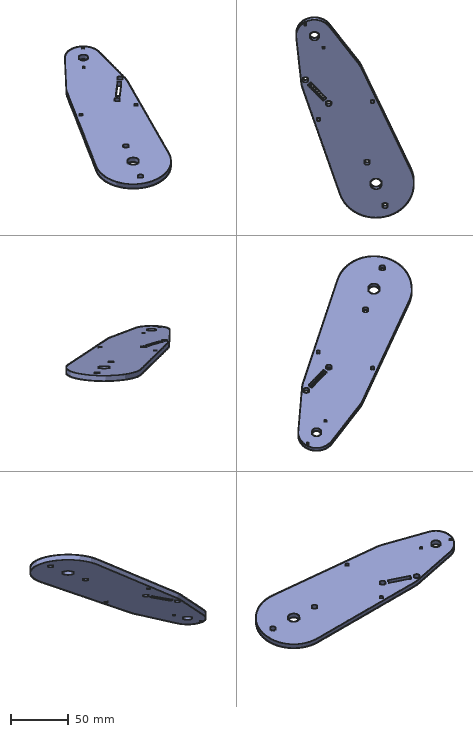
import cadquery as cq
import math

thickness = 5.0
small_end_radius = 16.0
shoulder_radius = 27.5
large_end_radius = 33.0
shoulder_x = 45.1
large_end_x = 153.63

small_bore_diameter = 8.2
large_bore_diameter = 10.1

bolt_diameter = 5.0
bolt_offset = 22.5

edge_hole_diameter = 3.0
edge_hole_x = 77.4
edge_hole_offset = 25.0

pin_diameter = 2.0
pin_circle_radius = 13.8
pin_angle = 165.0

slot_center_x = 51.5
slot_center_y = 16.75
slot_angle = -20.9
slot_length = 20.2
slot_width = 3.5
slot_hole_spacing = 30.7
slot_hole_diameter = 5.0


def point_at(center_x, center_y, radius, angle):
    """Point at a polar angle in degrees around a centre."""
    turn = math.radians(angle)
    return (center_x + radius * math.cos(turn), center_y + radius * math.sin(turn))


def mirrored(point):
    """Point reflected across the X axis."""
    return (point[0], -point[1])


def tangent_point_angle(radius_a, radius_b, spacing):
    """Polar angle of the upper tangent points of two circles on the X axis."""
    return 90.0 + math.degrees(math.asin((radius_b - radius_a) / spacing))


def make_plate():
    taper_angle = tangent_point_angle(small_end_radius, shoulder_radius, shoulder_x)
    side_angle = tangent_point_angle(shoulder_radius, large_end_radius, large_end_x - shoulder_x)
    shoulder_mid_angle = (taper_angle + side_angle) / 2

    small_mid = point_at(0, 0, small_end_radius, (180 + taper_angle) / 2)
    small_tangent = point_at(0, 0, small_end_radius, taper_angle)
    shoulder_start = point_at(shoulder_x, 0, shoulder_radius, taper_angle)
    shoulder_mid = point_at(shoulder_x, 0, shoulder_radius, shoulder_mid_angle)
    shoulder_end = point_at(shoulder_x, 0, shoulder_radius, side_angle)
    large_tangent = point_at(large_end_x, 0, large_end_radius, side_angle)
    large_mid = point_at(large_end_x, 0, large_end_radius, side_angle / 2)

    return (
        cq.Workplane("XY")
        .moveTo(-small_end_radius, 0)
        .threePointArc(small_mid, small_tangent)
        .lineTo(*shoulder_start)
        .threePointArc(shoulder_mid, shoulder_end)
        .lineTo(*large_tangent)
        .threePointArc(large_mid, (large_end_x + large_end_radius, 0))
        .threePointArc(mirrored(large_mid), mirrored(large_tangent))
        .lineTo(*mirrored(shoulder_end))
        .threePointArc(mirrored(shoulder_mid), mirrored(shoulder_start))
        .lineTo(*mirrored(small_tangent))
        .threePointArc(mirrored(small_mid), (-small_end_radius, 0))
        .close()
        .extrude(thickness, clean=False)
    )


def make_hole_cutters(centers, diameter):
    return cq.Workplane("XY").pushPoints(centers).circle(diameter / 2).extrude(thickness)


def make_slot_cutter():
    return (
        cq.Workplane("XY")
        .center(slot_center_x, slot_center_y)
        .transformed(rotate=(0, 0, slot_angle))
        .rect(slot_length, slot_width)
        .extrude(thickness)
    )


bolt_centers = [(large_end_x + side * bolt_offset, 0) for side in (-1, 1)]
edge_hole_centers = [(edge_hole_x, side * edge_hole_offset) for side in (-1, 1)]
pin_centers = [point_at(0, 0, side * pin_circle_radius, pin_angle) for side in (-1, 1)]
slot_hole_centers = [
    point_at(slot_center_x, slot_center_y, side * slot_hole_spacing / 2, slot_angle)
    for side in (-1, 1)
]

hole_groups = [
    ([(0, 0)], small_bore_diameter),
    ([(large_end_x, 0)], large_bore_diameter),
    (bolt_centers, bolt_diameter),
    (edge_hole_centers, edge_hole_diameter),
    (pin_centers, pin_diameter),
    (slot_hole_centers, slot_hole_diameter),
]

result = make_plate().cut(make_slot_cutter(), clean=False)
for centers, diameter in hole_groups:
    result = result.cut(make_hole_cutters(centers, diameter), clean=False)